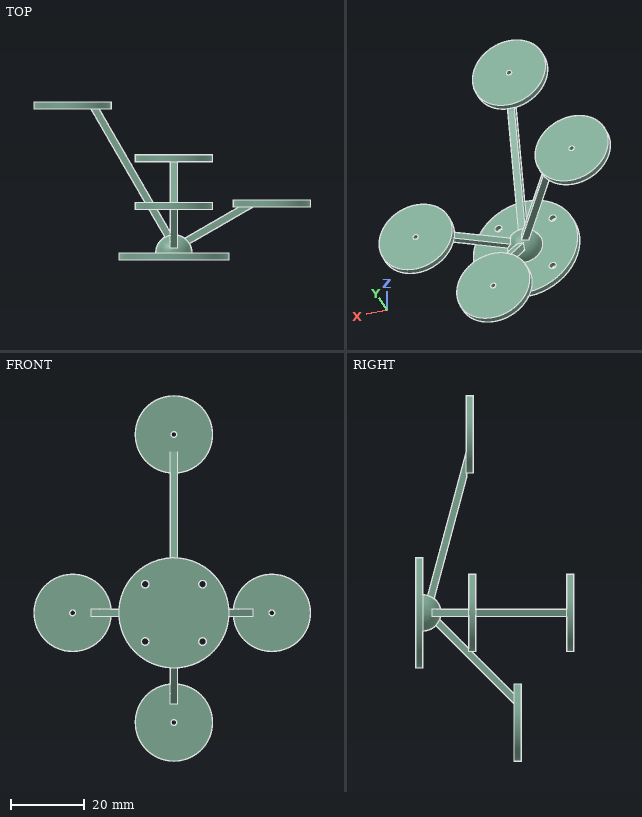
import cadquery as cq
import math

thickness = 2.0
base_diameter = 30.0
bolt_circle_diameter = 22.0
bolt_hole_diameter = 2.0
hub_radius = 5.0

disc_diameter = 21.0
disc_hole_diameter = 1.5

arm_width = 2.0
arm_overlap = 0.2

branches = [
    (0, 60, 26.6, 14.4),
    (90, 75, 48.4, 13.7),
    (180, 30, 27.5, 41.0),
    (270, 45, 29.8, 26.7),
]


def plate(diameter, front_y):
    """Round plate on the Y axis, growing toward +Y from front_y."""
    return cq.Workplane("XZ", origin=(0, front_y, 0)).circle(diameter / 2).extrude(-thickness)


def base_plate():
    """Plate with four through holes on the diagonals of a bolt circle."""
    holes = (
        cq.Workplane("XZ")
        .polarArray(bolt_circle_diameter / 2, 45, 360, 4)
        .circle(bolt_hole_diameter / 2)
        .extrude(-thickness)
    )
    return plate(base_diameter, 0).cut(holes)


def hub():
    """Half ball standing on the back of the base plate."""
    ball = cq.Workplane("XY").sphere(hub_radius)
    back_half = cq.Workplane("XY").box(
        2 * hub_radius, hub_radius, 2 * hub_radius, centered=(True, False, True)
    )
    return ball.intersect(back_half).translate((0, thickness, 0))


def arm(tilt, end_y):
    """Square bar leaning toward +X, cut off parallel to the disc at end_y."""
    angle = math.radians(tilt)
    rise = end_y - thickness
    run = rise * math.tan(angle)
    slant_width = arm_width / math.cos(angle)
    corners = [
        (0, thickness),
        (run, end_y),
        (run - slant_width, end_y),
        (-arm_width * math.cos(angle), thickness + arm_width * math.sin(angle)),
    ]
    return cq.Workplane("XY").polyline(corners).close().extrude(arm_width / 2, both=True)


def branch(heading, tilt, reach, disc_y):
    """Arm with its drilled disc, turned about the Y axis to its heading."""
    hole = cq.Workplane("XZ", origin=(0, disc_y, 0)).circle(disc_hole_diameter / 2).extrude(-thickness)
    disc = plate(disc_diameter, disc_y).cut(hole).translate((reach, 0, 0))
    return arm(tilt, disc_y + arm_overlap).union(disc).rotate((0, 0, 0), (0, 1, 0), -heading)


result = base_plate().union(hub())
for heading, tilt, reach, disc_y in branches:
    result = result.union(branch(heading, tilt, reach, disc_y))